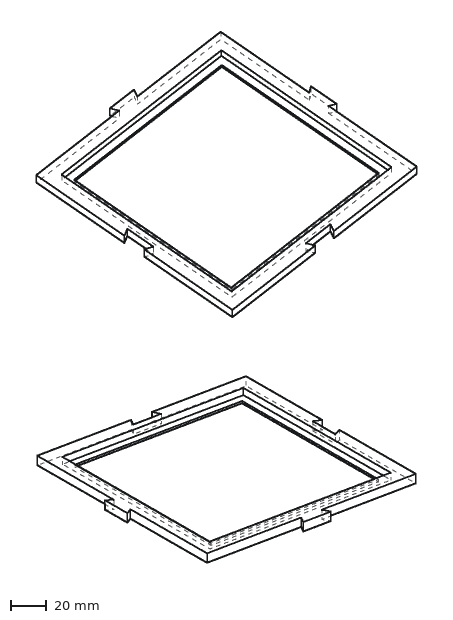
import cadquery as cq

frame_side = 150.0
frame_thickness = 6.0
opening_side = 120.0

ledge_width = 5.0
ledge_thickness = 1.5
recess_side = opening_side + 2 * ledge_width
recess_depth = frame_thickness - ledge_thickness

socket_narrow_width = 15.0
socket_wide_width = 20.0
socket_depth = 5.0
tab_clearance = 0.2
tab_narrow_width = socket_narrow_width - tab_clearance
tab_wide_width = socket_wide_width - tab_clearance
left_tab_length = 4.95
back_tab_length = 4.21

half_side = frame_side / 2


def square_block(side, height, bottom):
    """Square block centred on the Z axis, standing on the given height."""
    return cq.Workplane("XY").workplane(offset=bottom).rect(side, side).extrude(height)


def dovetail(narrow_width, wide_width, length):
    """Full-thickness dovetail that widens along +Y from the origin."""
    half_narrow = narrow_width / 2
    half_wide = wide_width / 2
    outline = [
        (-half_narrow, 0),
        (half_narrow, 0),
        (half_wide, length),
        (-half_wide, length),
    ]
    return cq.Workplane("XY").polyline(outline).close().extrude(frame_thickness)


def quarter_turn(shape):
    """Shape turned 90 degrees counterclockwise about the Z axis."""
    return shape.rotate((0, 0, 0), (0, 0, 1), 90)


def make_frame():
    """Flat square frame with a recessed ledge around its opening."""
    frame = square_block(frame_side, frame_thickness, 0)
    frame = frame.cut(square_block(opening_side, frame_thickness, 0))
    return frame.cut(square_block(recess_side, recess_depth, ledge_thickness))


def add_tabs(frame):
    """Dovetail tabs on the back (+Y) and left (-X) sides."""
    back_tab = dovetail(tab_narrow_width, tab_wide_width, back_tab_length)
    back_tab = back_tab.translate((0, half_side, 0))
    left_tab = dovetail(tab_narrow_width, tab_wide_width, left_tab_length)
    left_tab = quarter_turn(left_tab.translate((0, half_side, 0)))
    return frame.union(back_tab).union(left_tab)


def cut_sockets(frame):
    """Dovetail sockets in the front (-Y) and right (+X) sides."""
    front_socket = dovetail(socket_narrow_width, socket_wide_width, socket_depth)
    front_socket = front_socket.translate((0, -half_side, 0))
    right_socket = quarter_turn(front_socket)
    return frame.cut(front_socket).cut(right_socket)


result = cut_sockets(add_tabs(make_frame()))